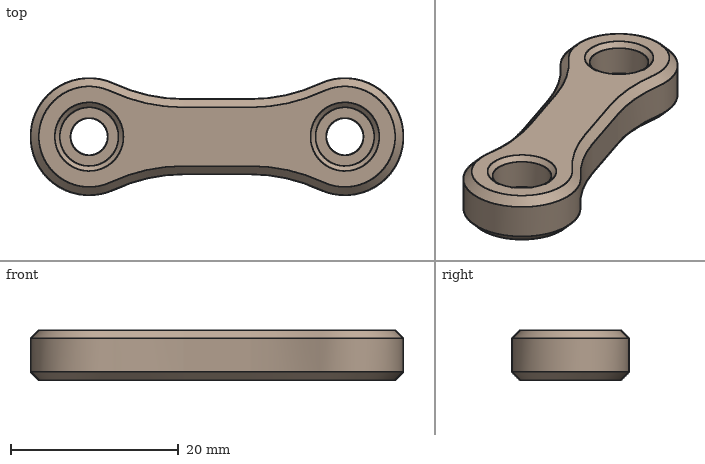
import cadquery as cq
import math

thickness = 6.0
hole_spacing = 30.5
end_radius = 7.0
edge_chamfer = 1.0

waist_width = 9.0
waist_length = 8.0

hole_diameter = 4.4
counterbore_diameter = 7.0
counterbore_depth = 4.0
mouth_chamfer = 0.6

end_x = hole_spacing / 2
half_waist_length = waist_length / 2
half_waist_width = waist_width / 2

run = end_x - half_waist_length
flank_radius = (run**2 + half_waist_width**2 - end_radius**2) / (2 * (end_radius - half_waist_width))
flank_angle = math.asin(run / (end_radius + flank_radius))
flank_center_y = half_waist_width + flank_radius


def flank_point(angle):
    """Point on the upper right flank arc, at an angle measured from its waist end."""
    x = half_waist_length + flank_radius * math.sin(angle)
    y = flank_center_y - flank_radius * math.cos(angle)
    return x, y


def make_body():
    """Dog-bone plate with both outer rims chamfered."""
    mid_x, mid_y = flank_point(flank_angle / 2)
    join_x, join_y = flank_point(flank_angle)
    tip_x = end_x + end_radius
    outline = (
        cq.Workplane("XY")
        .moveTo(-half_waist_length, half_waist_width)
        .lineTo(half_waist_length, half_waist_width)
        .threePointArc((mid_x, mid_y), (join_x, join_y))
        .threePointArc((tip_x, 0), (join_x, -join_y))
        .threePointArc((mid_x, -mid_y), (half_waist_length, -half_waist_width))
        .lineTo(-half_waist_length, -half_waist_width)
        .threePointArc((-mid_x, -mid_y), (-join_x, -join_y))
        .threePointArc((-tip_x, 0), (-join_x, join_y))
        .threePointArc((-mid_x, mid_y), (-half_waist_length, half_waist_width))
        .close()
    )
    return outline.extrude(thickness).faces("<Z or >Z").chamfer(edge_chamfer)


def make_hole_cutter(x):
    """Through hole, counterbore and chamfered mouth, revolved about a vertical axis at x."""
    hole_radius = hole_diameter / 2
    bore_radius = counterbore_diameter / 2
    profile = [
        (0, 0),
        (hole_radius, 0),
        (hole_radius, thickness - counterbore_depth),
        (bore_radius, thickness - counterbore_depth),
        (bore_radius, thickness - mouth_chamfer),
        (bore_radius + mouth_chamfer, thickness),
        (0, thickness),
    ]
    cutter = cq.Workplane("XZ").polyline(profile).close().revolve(360, (0, 0), (0, 1))
    return cutter.translate((x, 0, 0))


result = make_body()
for hole_x in (-end_x, end_x):
    result = result.cut(make_hole_cutter(hole_x))